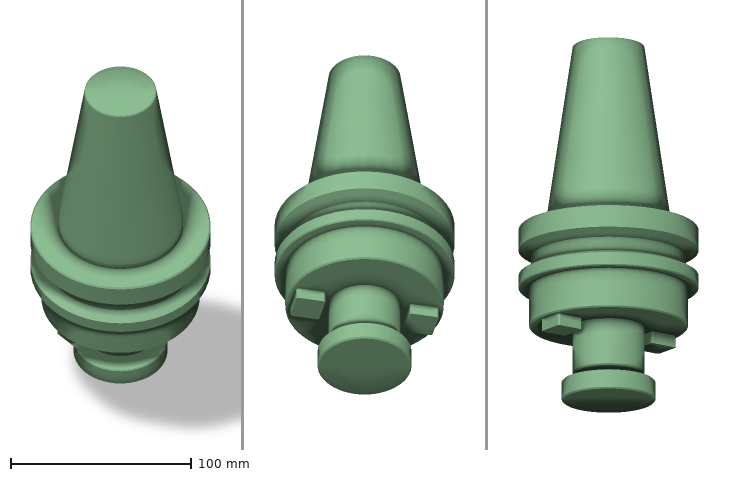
import cadquery as cq

SCREW_HEAD_TOP = 11.0
PILOT_BOTTOM = 15.3
BODY_BOTTOM = 42.0
FLANGE_BOTTOM = 64.5
LOWER_RIM_TOP = 71.7
GROOVE_BOTTOM = 75.2
GROOVE_TOP = 82.5
UPPER_RIM_BOTTOM = 86.5
FLANGE_TOP = 99.0
TAPER_BOTTOM = 102.3
TOTAL_HEIGHT = 203.8

SCREW_HEAD_RADIUS = 26.0
SCREW_NECK_RADIUS = 10.4
PILOT_RADIUS = 20.0
BODY_RADIUS = 44.0
FLANGE_RADIUS = 100.0 / 2
GROOVE_RADIUS = 43.0
TAPER_BOTTOM_RADIUS = 34.8
TAPER_TOP_RADIUS = 20.0

CHAMFER = 0.8
SMALL_CHAMFER = 0.6

RELIEF_DEPTH = 0.1
RELIEF_TOP = 100.7

LUG_WIDTH = 16.7
LUG_LENGTH = 16.3
LUG_HEIGHT = 6.7
LUG_CENTER_Y = 32.2
LUG_CHAMFER = 0.8
LUG_EMBED = 2.0


def cylinder(radius, bottom, top):
    return cq.Workplane("XY").workplane(offset=bottom).circle(radius).extrude(top - bottom)


def make_screw():
    head = cylinder(SCREW_HEAD_RADIUS, 0, SCREW_HEAD_TOP)
    head = head.faces("<Z").chamfer(CHAMFER).faces(">Z").chamfer(SMALL_CHAMFER)
    neck = cylinder(SCREW_NECK_RADIUS, SCREW_HEAD_TOP, PILOT_BOTTOM).faces("<Z").chamfer(SMALL_CHAMFER)
    return head.union(neck)


def make_pilot_and_body():
    pilot = cylinder(PILOT_RADIUS, PILOT_BOTTOM, BODY_BOTTOM).faces("<Z").chamfer(CHAMFER)
    body = cylinder(BODY_RADIUS, BODY_BOTTOM, FLANGE_BOTTOM).faces("<Z").chamfer(CHAMFER)
    return pilot.union(body)


def make_flange():
    profile = [
        (0, FLANGE_BOTTOM),
        (FLANGE_RADIUS - SMALL_CHAMFER, FLANGE_BOTTOM),
        (FLANGE_RADIUS, FLANGE_BOTTOM + SMALL_CHAMFER),
        (FLANGE_RADIUS, LOWER_RIM_TOP),
        (GROOVE_RADIUS, GROOVE_BOTTOM),
        (GROOVE_RADIUS, GROOVE_TOP),
        (FLANGE_RADIUS, UPPER_RIM_BOTTOM),
        (FLANGE_RADIUS, FLANGE_TOP - CHAMFER),
        (FLANGE_RADIUS - CHAMFER, FLANGE_TOP),
        (0, FLANGE_TOP),
    ]
    return cq.Workplane("XZ").polyline(profile).close().revolve(360, (0, 0), (0, 1))


def make_taper():
    relief_radius = TAPER_BOTTOM_RADIUS - RELIEF_DEPTH
    profile = [
        (0, FLANGE_TOP),
        (relief_radius, FLANGE_TOP),
        (relief_radius, RELIEF_TOP),
        (TAPER_BOTTOM_RADIUS, TAPER_BOTTOM),
        (TAPER_TOP_RADIUS, TOTAL_HEIGHT - SMALL_CHAMFER),
        (TAPER_TOP_RADIUS - SMALL_CHAMFER, TOTAL_HEIGHT),
        (0, TOTAL_HEIGHT),
    ]
    return cq.Workplane("XZ").polyline(profile).close().revolve(360, (0, 0), (0, 1))


def make_lug(side):
    lug = (
        cq.Workplane("XY")
        .workplane(offset=BODY_BOTTOM - LUG_HEIGHT)
        .center(0, side * LUG_CENTER_Y)
        .rect(LUG_WIDTH, LUG_LENGTH)
        .extrude(LUG_HEIGHT + LUG_EMBED)
    )
    return lug.edges("|Z").chamfer(LUG_CHAMFER)


result = make_screw().union(make_pilot_and_body()).union(make_flange()).union(make_taper())
for side in (-1, 1):
    result = result.union(make_lug(side))